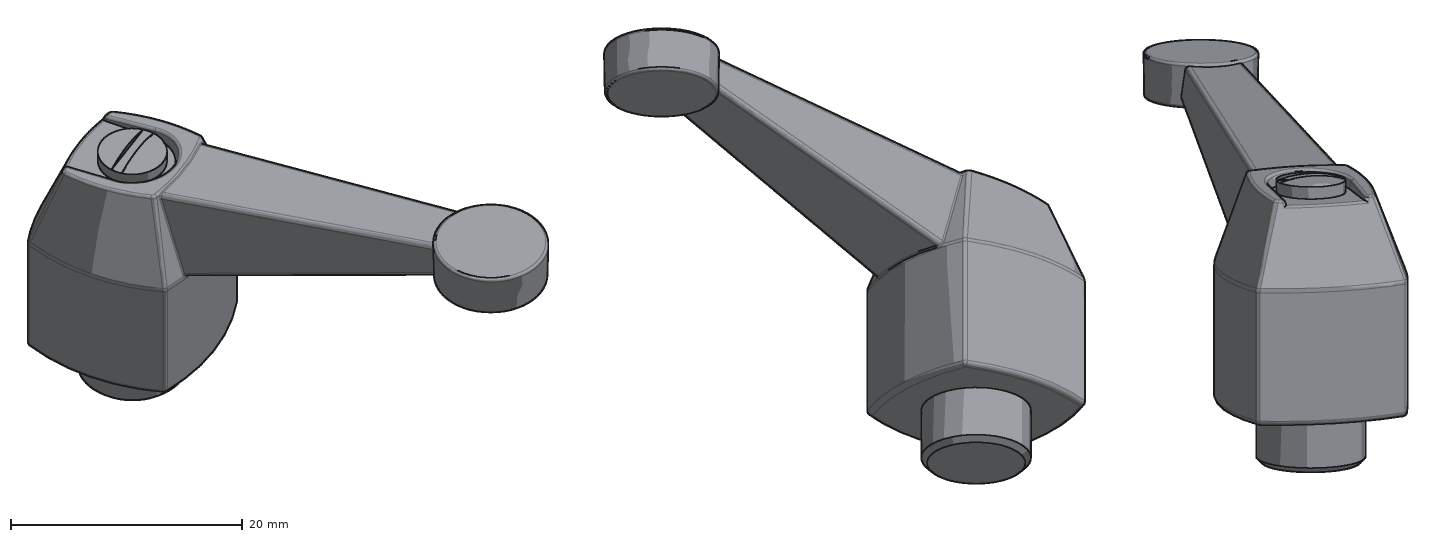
import cadquery as cq
import math

boss_diameter = 9.5
boss_height = 5.0
boss_chamfer = 0.5

hub_half_width = 8.0
hub_side_radius = 18.5
shoulder_z = 17.0
cap_half_width = 5.05
cap_center_z = 24.75
cap_tilt = 5.0
hub_corner_fillet = 0.5
hub_bottom_fillet = 0.45
shoulder_fillet = 1.0
cap_top_fillet = 0.3

recess_floor_z = 23.93
recess_half_width = 3.5
recess_draft = 15.0
recess_end_center_x = 0.25

screw_diameter = 6.0
screw_rim_z = 25.0
screw_dome_height = 0.45
screw_slot_width = 1.0

overall_length = 48.0
overall_height = 29.0
knob_top_radius = 5.0
knob_thickness = 4.0
knob_draft = 1.0
knob_fillet = 0.25

arm_root_fillet = 0.15
arm_start_x = 4.0
arm_root_x = 5.0
arm_tip_x = 31.2
arm_root_top_z = 25.05
arm_tip_top_z = 28.85
arm_root_bottom_z = 16.1
arm_tip_bottom_z = 25.6
arm_root_top_half = 3.9
arm_tip_top_half = 2.55
arm_root_bottom_half = 4.65
arm_tip_bottom_half = 2.95
arm_fillet = 0.45

shoulder_select_margin = 1.0
mouth_select_margin = 0.2
mouth_select_depth = 0.45
root_select_margin = 0.1

knob_x = overall_length - hub_half_width - knob_top_radius


def corner_coordinate(half_width):
    """Corner coordinate of a square whose arced sides bulge out to half_width."""
    offset = hub_side_radius - half_width
    return (math.sqrt(2 * hub_side_radius**2 - offset**2) - offset) / 2


def barrel_square(plane, half_width):
    """Closed square wire with four outward-bowed arc sides and rounded corners."""
    c = corner_coordinate(half_width)
    h = half_width
    outline = (
        cq.Workplane(plane)
        .moveTo(-c, -c)
        .threePointArc((0, -h), (c, -c))
        .threePointArc((h, 0), (c, c))
        .threePointArc((0, h), (-c, c))
        .threePointArc((-h, 0), (-c, -c))
        .close()
        .val()
    )
    return outline.fillet2D(hub_corner_fillet, outline.Vertices())


def make_hub():
    """Column and tapered cap, with rounded shoulder and bottom edges."""
    tilt = math.radians(cap_tilt)
    base_plane = cq.Plane(origin=(0, 0, boss_height))
    shoulder_plane = cq.Plane(origin=(0, 0, shoulder_z))
    top_plane = cq.Plane(
        origin=(0, 0, cap_center_z),
        xDir=(math.cos(tilt), 0, math.sin(tilt)),
        normal=(-math.sin(tilt), 0, math.cos(tilt)),
    )
    column_rise = cq.Vector(0, 0, shoulder_z - boss_height)
    column = cq.Solid.extrudeLinear(barrel_square(base_plane, hub_half_width), [], column_rise)
    shoulder_wire = barrel_square(shoulder_plane, hub_half_width)
    cap = cq.Solid.makeLoft([shoulder_wire, barrel_square(top_plane, cap_half_width)], True)
    hub = cq.Workplane(column).union(cq.Workplane(cap))

    span = 2 * hub_half_width
    shoulder_edges = cq.selectors.BoxSelector(
        (-span, -span, shoulder_z - shoulder_select_margin),
        (span, span, shoulder_z + shoulder_select_margin),
    )
    hub = hub.edges(shoulder_edges).fillet(shoulder_fillet)
    return hub.faces("<Z").edges().fillet(hub_bottom_fillet)


def make_boss():
    """Round boss under the hub."""
    boss = cq.Workplane().circle(boss_diameter / 2).extrude(boss_height)
    return boss.faces("<Z").edges().chamfer(boss_chamfer)


def make_recess():
    """Cutter for the round-ended recess that runs out through the -X side of the cap."""
    r = recess_half_width
    x = recess_end_center_x
    return (
        cq.Workplane(cq.Plane(origin=(0, 0, recess_floor_z)))
        .moveTo(-hub_half_width, -r)
        .lineTo(x, -r)
        .threePointArc((x + r, 0), (x, r))
        .lineTo(-hub_half_width, r)
        .close()
        .extrude(overall_height - recess_floor_z, taper=-recess_draft)
    )


def round_cap_edges(hub):
    """Round the cap's outer top edge, the recess rim and the open -X mouth of the recess."""
    mouth_half_width = recess_half_width + mouth_select_margin
    mouth = cq.selectors.BoxSelector(
        (-hub_half_width, -mouth_half_width, recess_floor_z - mouth_select_margin),
        (-cap_half_width + mouth_select_depth, mouth_half_width, overall_height),
    )
    mouth_edges = hub.edges(mouth)
    return hub.faces(">Z").edges().add(mouth_edges).fillet(cap_top_fillet)


def round_arm_root(body):
    """Round the inner corner where the sides and underside of the arm meet the hub."""
    root = cq.selectors.BoxSelector(
        (cap_half_width - root_select_margin, -hub_half_width, shoulder_z),
        (hub_half_width - root_select_margin, hub_half_width, cap_center_z),
    )
    return body.edges(root).fillet(arm_root_fillet)


def make_screw():
    """Domed screw head with a straight slot along Y, cut down to the level of its rim."""
    r = screw_diameter / 2
    dome_radius = (r**2 + screw_dome_height**2) / (2 * screw_dome_height)
    mid_x = r / 2
    dome_top_z = screw_rim_z + screw_dome_height
    mid_z = dome_top_z - dome_radius + math.sqrt(dome_radius**2 - mid_x**2)
    head = (
        cq.Workplane("XZ")
        .moveTo(0, shoulder_z)
        .lineTo(r, shoulder_z)
        .lineTo(r, screw_rim_z)
        .threePointArc((mid_x, mid_z), (0, dome_top_z))
        .close()
        .revolve(360, (0, 0, 0), (0, 1, 0))
    )
    slot = (
        cq.Workplane(cq.Plane(origin=(0, 0, screw_rim_z)))
        .rect(screw_slot_width, 2 * screw_diameter)
        .extrude(overall_height - screw_rim_z)
    )
    return head.cut(slot)


def extrapolate(root_value, tip_value, x):
    """Value at x on the straight line through the root and tip values of the arm."""
    return root_value + (tip_value - root_value) * (x - arm_root_x) / (arm_tip_x - arm_root_x)


def arm_section(x):
    """Trapezoid cross-section of the arm at x."""
    top_z = extrapolate(arm_root_top_z, arm_tip_top_z, x)
    bottom_z = extrapolate(arm_root_bottom_z, arm_tip_bottom_z, x)
    top_half = extrapolate(arm_root_top_half, arm_tip_top_half, x)
    bottom_half = extrapolate(arm_root_bottom_half, arm_tip_bottom_half, x)
    corners = [
        (bottom_half, bottom_z),
        (top_half, top_z),
        (-top_half, top_z),
        (-bottom_half, bottom_z),
    ]
    plane = cq.Plane(origin=(x, 0, 0), xDir=(0, 1, 0), normal=(1, 0, 0))
    return cq.Workplane(plane).polyline(corners).close().val()


def make_arm():
    """Tapered arm with rounded long edges, reaching into the hub and the knob."""
    sections = [arm_section(arm_start_x), arm_section(arm_tip_x)]
    arm = cq.Workplane(cq.Solid.makeLoft(sections, True))
    return arm.edges("not #X").fillet(arm_fillet)


def make_knob():
    """Round knob, slightly narrower at the bottom, with rounded rims."""
    knob = (
        cq.Workplane(cq.Plane(origin=(knob_x, 0, overall_height)))
        .circle(knob_top_radius)
        .extrude(-knob_thickness, taper=knob_draft)
    )
    return knob.edges("%CIRCLE").fillet(knob_fillet)


hub = round_cap_edges(make_hub().cut(make_recess()))
hub_and_arm = round_arm_root(hub.union(make_arm()))
result = hub_and_arm.union(make_boss()).union(make_screw()).union(make_knob())